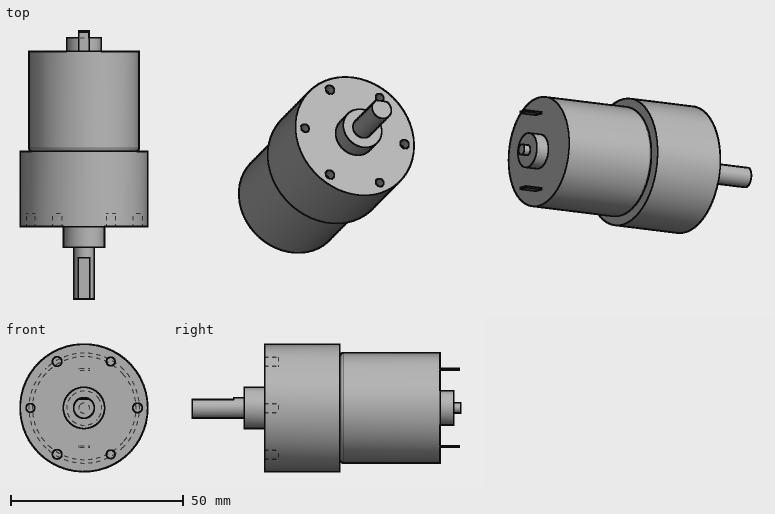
import cadquery as cq
import math


gearbox_diameter = 37.0
gearbox_length = 21.8

boss_diameter = 12.0
boss_length = 6.0
shaft_diameter = 6.0
shaft_length = 15.0
flat_length = 12.0
flat_depth = 0.5

hole_count = 6
hole_circle_diameter = 31.05
wide_hole_diameter = 2.7
narrow_hole_diameter = 2.5
hole_depth = 3.9

can_diameter = 32.0
can_length = 29.0
can_edge_radius = 1.0

bearing_diameter = 10.0
bearing_length = 4.0
rear_shaft_diameter = 3.0
rear_shaft_length = 2.0

tab_width = 3.0
tab_thickness = 0.5
tab_length = 5.5
tab_offset = 11.2

gearbox_rear = gearbox_length
can_rear = gearbox_rear + can_length
boss_front = -boss_length
shaft_front = boss_front - shaft_length


def cylinder(diameter, start, length):
    """Cylinder on the Y axis, running from start toward +Y."""
    return cq.Workplane("XZ", origin=(0, start, 0)).circle(diameter / 2).extrude(-length)


def make_can():
    """Motor can with a rounded edge next to the gearbox."""
    return cylinder(can_diameter, gearbox_rear, can_length).faces("<Y").edges().fillet(can_edge_radius)


def make_output_shaft():
    """Output shaft with a flat on its upper side."""
    shaft = cylinder(shaft_diameter, shaft_front, shaft_length)
    flat_cut = cq.Workplane("XY", origin=(0, shaft_front, shaft_diameter / 2 - flat_depth)).box(
        shaft_diameter, flat_length, flat_depth, centered=(True, False, False)
    )
    return shaft.cut(flat_cut)


def make_tab(height):
    """Flat terminal tab standing on the rear face of the can."""
    return cq.Workplane("XY", origin=(0, can_rear, height)).box(
        tab_width, tab_length, tab_thickness, centered=(True, False, True)
    )


def make_mounting_hole(index):
    """Blind hole in the mounting face; the first one lies on +X."""
    angle = math.radians(index * 360 / hole_count)
    hole_diameter = wide_hole_diameter if index % 2 == 0 else narrow_hole_diameter
    x = hole_circle_diameter / 2 * math.cos(angle)
    z = hole_circle_diameter / 2 * math.sin(angle)
    return cylinder(hole_diameter, 0, hole_depth).translate((x, 0, z))


result = cylinder(gearbox_diameter, 0, gearbox_length)
result = result.union(make_can())
result = result.union(cylinder(boss_diameter, boss_front, boss_length))
result = result.union(make_output_shaft())
result = result.union(cylinder(bearing_diameter, can_rear, bearing_length))
result = result.union(cylinder(rear_shaft_diameter, can_rear + bearing_length, rear_shaft_length))
for side in (1, -1):
    result = result.union(make_tab(side * tab_offset))
for hole_index in range(hole_count):
    result = result.cut(make_mounting_hole(hole_index))